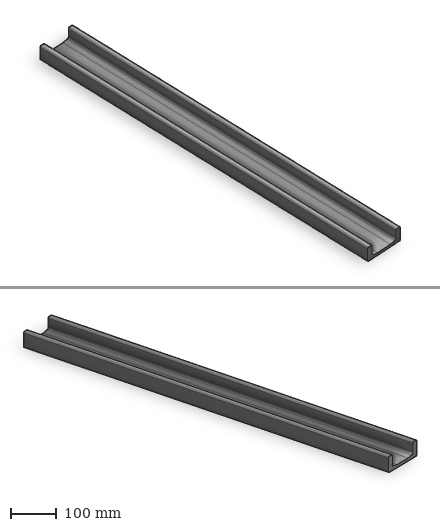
import cadquery as cq

length = 1000.0
width = 103.0
height = 40.0
cavity_width = 75.0
floor_thickness = 7.5
flat_floor_width = 40.0
floor_rise = 3.3
corner_radius = 5.0
edge_radius = 3.0

half_cavity = cavity_width / 2
half_flat = flat_floor_width / 2
bottom = -height / 2
top = height / 2
floor = bottom + floor_thickness
floor_edge = floor + floor_rise


def channel_blank():
    """Rectangular bar with its four long edges rounded."""
    return cq.Workplane("XY").box(length, width, height).edges("|X").fillet(edge_radius)


def cavity():
    """Open-topped trough with a flat centre and sloping sides."""
    return (
        cq.Workplane("YZ", origin=(-length / 2, 0, 0))
        .moveTo(-half_cavity, top)
        .lineTo(-half_cavity, floor_edge)
        .lineTo(-half_flat, floor)
        .lineTo(half_flat, floor)
        .lineTo(half_cavity, floor_edge)
        .lineTo(half_cavity, top)
        .close()
        .extrude(length)
    )


def round_wall_edges(body, z, radius):
    """Round the pair of long edges that lie on the inner wall faces at height z."""
    for y in (-half_cavity, half_cavity):
        body = body.edges(cq.selectors.NearestToPointSelector((0, y, z))).fillet(radius)
    return body


channel = channel_blank().cut(cavity())
channel = round_wall_edges(channel, floor_edge, corner_radius)
result = round_wall_edges(channel, top, edge_radius)